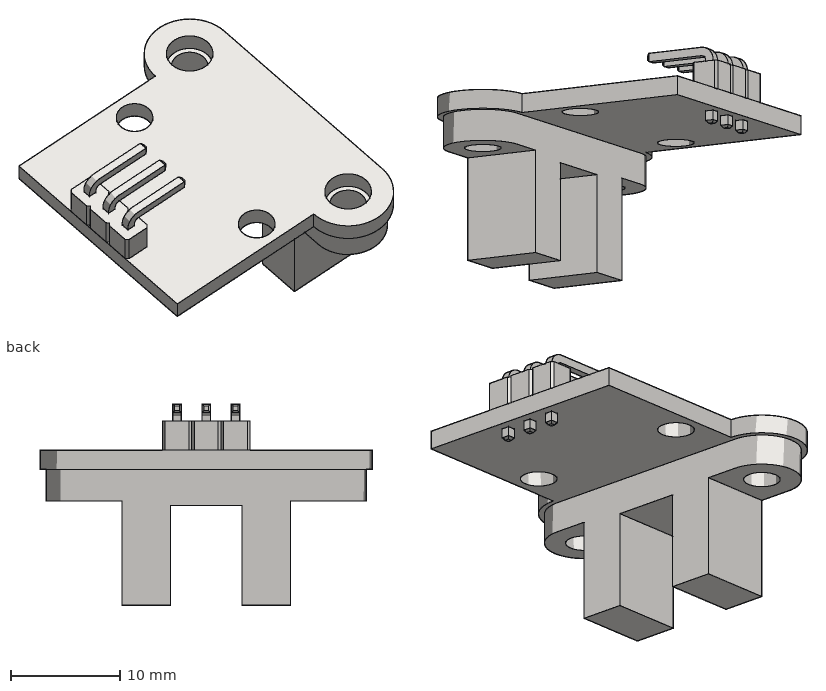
import cadquery as cq

LENGTH = 30.45
DEPTH = 24.9

LUG_RADIUS = 4.17
BOARD_THICKNESS = 1.77
BOARD_MOUNT_HOLE_DIAMETER = 4.25
SPARE_HOLE_DIAMETER = 3.35
SPARE_HOLE_SPACING = 17.05
SPARE_HOLE_OFFSET = 8.9
MOUNT_X = LENGTH / 2 - LUG_RADIUS
BOARD_BACK = LUG_RADIUS
BOARD_FRONT = BOARD_BACK - DEPTH

FLANGE_RADIUS = 3.62
FLANGE_HEIGHT = 2.9
HOUSING_MOUNT_HOLE_DIAMETER = 3.35
HOUSING_HEIGHT = 12.45
FORK_WIDTH = 15.47
SLOT_WIDTH = 6.55
SLOT_ROOF_DEPTH = 3.32

PIN_COUNT = 3
PITCH = 2.68
CELL_CHAMFER = 0.25
HEADER_HEIGHT = 2.68
HEADER_Y = BOARD_FRONT + PITCH / 2
HEADER_TOP = BOARD_THICKNESS + HEADER_HEIGHT

PIN_WIDTH = 0.8
PIN_BELOW_BOARD = 1.13
PIN_ABOVE_HEADER = 1.55
PIN_REACH = 8.05
BEND_OUTER_RADIUS = 1.28
TIP_LENGTH = 0.25
TIP_INSET = 0.18
BEND_RADIUS = BEND_OUTER_RADIUS - PIN_WIDTH / 2
PIN_TOP = HEADER_TOP + PIN_ABOVE_HEADER
PIN_TIP_Y = BOARD_FRONT + PIN_REACH

MOUNT_POINTS = [(-MOUNT_X, 0), (MOUNT_X, 0)]
PIN_XS = [(i - (PIN_COUNT - 1) / 2) * PITCH for i in range(PIN_COUNT)]
PIN_POINTS = [(x, HEADER_Y) for x in PIN_XS]


def cut_pin_holes(block):
    """Cut the square holes that the vertical legs of the pins fill."""
    height = HEADER_TOP + PIN_BELOW_BOARD
    holes = (
        cq.Workplane("XY", origin=(0, 0, -PIN_BELOW_BOARD))
        .pushPoints(PIN_POINTS)
        .rect(PIN_WIDTH, PIN_WIDTH)
        .extrude(height)
    )
    return block.cut(holes)


def make_board():
    """Plate with a round mounting lug at each back corner."""
    plate = (
        cq.Workplane("XY")
        .moveTo(-MOUNT_X, BOARD_BACK)
        .lineTo(MOUNT_X, BOARD_BACK)
        .threePointArc((MOUNT_X + LUG_RADIUS, 0), (MOUNT_X, -LUG_RADIUS))
        .lineTo(MOUNT_X, BOARD_FRONT)
        .lineTo(-MOUNT_X, BOARD_FRONT)
        .lineTo(-MOUNT_X, -LUG_RADIUS)
        .threePointArc((-MOUNT_X - LUG_RADIUS, 0), (-MOUNT_X, BOARD_BACK))
        .close()
        .extrude(BOARD_THICKNESS)
    )
    spare_points = [(side * SPARE_HOLE_SPACING / 2, -SPARE_HOLE_OFFSET) for side in (-1, 1)]
    plate = plate.faces(">Z").workplane(origin=(0, 0, BOARD_THICKNESS))
    plate = plate.pushPoints(MOUNT_POINTS).hole(BOARD_MOUNT_HOLE_DIAMETER)
    plate = plate.faces(">Z").workplane(origin=(0, 0, BOARD_THICKNESS))
    plate = plate.pushPoints(spare_points).hole(SPARE_HOLE_DIAMETER)
    return cut_pin_holes(plate)


def make_housing():
    """Round-ended flange with a two-legged fork hanging below it."""
    width = 2 * FLANGE_RADIUS
    flange = cq.Workplane("XY").slot2D(2 * MOUNT_X + width, width).extrude(-FLANGE_HEIGHT)
    fork = cq.Workplane("XY").rect(FORK_WIDTH, width).extrude(-HOUSING_HEIGHT)
    slot = (
        cq.Workplane("XY", origin=(0, 0, -HOUSING_HEIGHT))
        .rect(SLOT_WIDTH, width)
        .extrude(HOUSING_HEIGHT - SLOT_ROOF_DEPTH)
    )
    mount_holes = (
        cq.Workplane("XY")
        .pushPoints(MOUNT_POINTS)
        .circle(HOUSING_MOUNT_HOLE_DIAMETER / 2)
        .extrude(-FLANGE_HEIGHT)
    )
    return flange.union(fork).cut(slot).cut(mount_holes)


def make_header():
    """Row of square cells with chamfered upright edges, joined side by side."""
    header = cq.Workplane("XY")
    for x, y in PIN_POINTS:
        cell = (
            cq.Workplane("XY", origin=(x, y, BOARD_THICKNESS))
            .rect(PITCH, PITCH)
            .extrude(HEADER_HEIGHT)
            .edges("|Z")
            .chamfer(CELL_CHAMFER)
        )
        header = header.union(cell)
    return cut_pin_holes(header)


def make_pin(x):
    """Square wire bent from upright to pointing back over the board, tapered at both ends."""
    centre_top = PIN_TOP - PIN_WIDTH / 2
    bend_start_z = centre_top - BEND_RADIUS
    bend_end_y = HEADER_Y + BEND_RADIUS
    leg_bottom = -PIN_BELOW_BOARD + TIP_LENGTH
    arm_end = PIN_TIP_Y - TIP_LENGTH
    tip_width = PIN_WIDTH - 2 * TIP_INSET

    leg = (
        cq.Workplane("XY", origin=(x, HEADER_Y, leg_bottom))
        .rect(PIN_WIDTH, PIN_WIDTH)
        .extrude(bend_start_z - leg_bottom)
    )
    bend = (
        cq.Workplane("XY", origin=(x, HEADER_Y, bend_start_z))
        .rect(PIN_WIDTH, PIN_WIDTH)
        .revolve(90, (0, BEND_RADIUS, 0), (-1, BEND_RADIUS, 0))
    )
    arm = (
        cq.Workplane("XZ", origin=(x, bend_end_y, centre_top))
        .rect(PIN_WIDTH, PIN_WIDTH)
        .extrude(bend_end_y - arm_end)
    )
    lower_tip = (
        cq.Workplane("XY", origin=(x, HEADER_Y, leg_bottom))
        .rect(PIN_WIDTH, PIN_WIDTH)
        .workplane(offset=-TIP_LENGTH)
        .rect(tip_width, tip_width)
        .loft()
    )
    arm_tip = (
        cq.Workplane("XZ", origin=(x, arm_end, centre_top))
        .rect(PIN_WIDTH, PIN_WIDTH)
        .workplane(offset=-TIP_LENGTH)
        .rect(tip_width, tip_width)
        .loft()
    )
    return leg.union(bend).union(arm).union(lower_tip).union(arm_tip)


board = make_board()
housing = make_housing()
header = make_header()
pins = [make_pin(x) for x in PIN_XS]

result = cq.Compound.makeCompound(
    [body.solids().val() for body in (board, housing, header, *pins)]
)